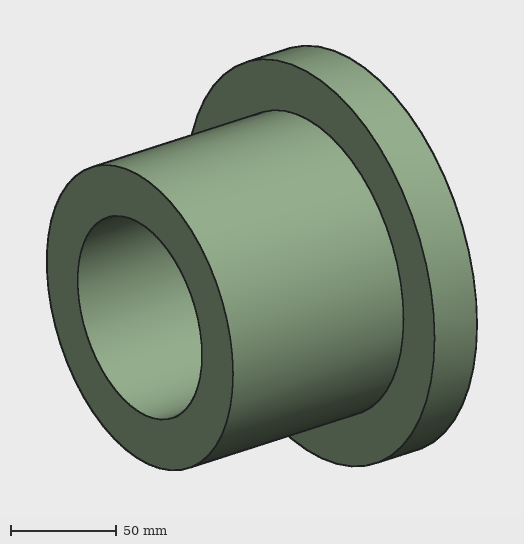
import cadquery as cq

flange_diameter = 200.0
sleeve_diameter = 150.0
bore_diameter = 100.0
overall_length = 125.0
flange_thickness = 25.0
sleeve_length = overall_length - flange_thickness


def cylinder_toward_front(diameter, start_y, length):
    """Solid cylinder on the Y axis, running from start_y toward -Y."""
    return cq.Workplane("XZ", origin=(0, start_y, 0)).circle(diameter / 2).extrude(length)


flange = cylinder_toward_front(flange_diameter, flange_thickness, flange_thickness)
sleeve = cylinder_toward_front(sleeve_diameter, 0, sleeve_length)

bore = cylinder_toward_front(bore_diameter, flange_thickness, overall_length)

result = flange.union(sleeve).cut(bore)